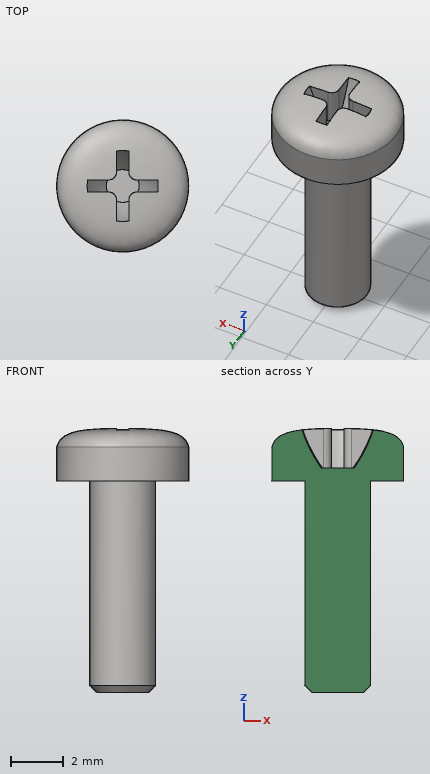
import cadquery as cq

total_length = 10.0
head_height = 2.0
head_radius = 2.5
shank_radius = 1.25
tip_chamfer = 0.27

dome_height = 0.7
crown_pull = 1.6
rim_pull_in = 0.16
rim_pull_up = 0.6

recess_depth = 1.5
recess_top_radius = 1.36
recess_middle_radius = 1.06
recess_floor_radius = 0.62
wing_width = 0.46
inner_corner_radius = 0.3

head_base = total_length - head_height
dome_base = total_length - dome_height
recess_floor = total_length - recess_depth
recess_middle = total_length - recess_depth / 2


def make_body():
    """Revolve the shank, the cylindrical head rim and the domed top."""
    dome_curve = [
        (0, total_length),
        (crown_pull, total_length),
        (head_radius - rim_pull_in, dome_base + rim_pull_up),
        (head_radius, dome_base),
    ]
    return (
        cq.Workplane("XZ")
        .moveTo(0, total_length)
        .bezier(dome_curve)
        .lineTo(head_radius, head_base)
        .lineTo(shank_radius, head_base)
        .lineTo(shank_radius, tip_chamfer)
        .lineTo(shank_radius - tip_chamfer, 0)
        .lineTo(0, 0)
        .close()
        .revolve(360, (0, 0), (0, 1))
    )


def make_recess():
    """Cross with rounded inner corners, its wing ends following a slightly bulging taper."""
    wing_length = 2 * head_radius
    floor = cq.Workplane("XY").workplane(offset=recess_floor)
    cross = (
        floor.rect(wing_length, wing_width)
        .extrude(recess_depth)
        .union(floor.rect(wing_width, wing_length).extrude(recess_depth))
    )
    inner_corners = cq.selectors.BoxSelector(
        (-wing_width, -wing_width, recess_floor),
        (wing_width, wing_width, total_length),
    )
    cross = cross.edges("|Z").edges(inner_corners).fillet(inner_corner_radius)
    taper = (
        cq.Workplane("XZ")
        .moveTo(0, recess_floor)
        .lineTo(recess_floor_radius, recess_floor)
        .threePointArc((recess_middle_radius, recess_middle), (recess_top_radius, total_length))
        .lineTo(0, total_length)
        .close()
        .revolve(360, (0, 0), (0, 1))
    )
    return cross.intersect(taper)


result = make_body().cut(make_recess())